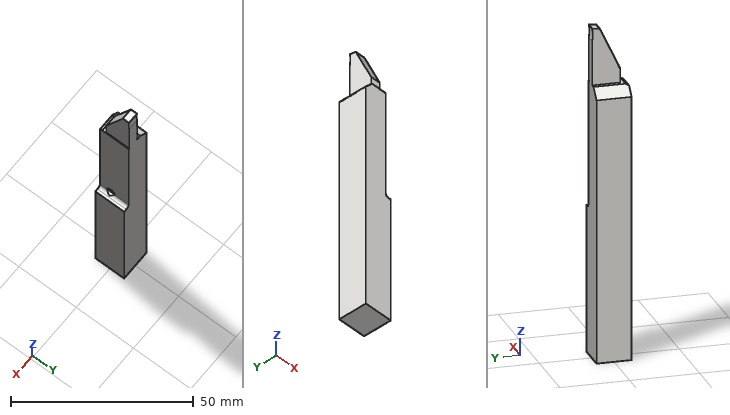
import cadquery as cq

width = 10.0
depth = 10.0
length = 96.6

shank_top = 80.0
relief_bottom = 43.0
relief_depth = 2.0
relief_radius = 1.1
side_bevel = 2.9
front_bevel_depth = 0.9
front_bevel_drop = 0.5
relief_x = width - relief_depth

dimple_radius = 1.3
dimple_y = 3.8
dimple_height = 1.4
dimple_depth = 0.5

blade_thickness = 3.6
blade_side_gap = 0.2
blade_front = 2.0
blade_shoulder = 84.1
tip_land = 2.2
tip_drop = 0.3
blade_x = relief_x - blade_side_gap - blade_thickness

hollow_length = 3.8
hollow_depth = 0.2


def make_shank():
    profile = (
        cq.Workplane("XZ")
        .polyline([
            (0, 0),
            (width, 0),
            (width, relief_bottom),
            (relief_x, relief_bottom),
            (relief_x, shank_top),
            (side_bevel, shank_top),
            (0, shank_top - side_bevel),
        ])
        .close()
    )
    shank = profile.extrude(-depth)
    inner_corner = cq.selectors.NearestToPointSelector((relief_x, depth / 2, relief_bottom))
    shank = shank.edges("|Y").edges(inner_corner).fillet(relief_radius)
    return shank.cut(make_front_bevel()).cut(make_dimple())


def make_front_bevel():
    return (
        cq.Workplane("YZ")
        .polyline([
            (0, shank_top - front_bevel_drop),
            (front_bevel_depth, shank_top),
            (0, shank_top),
        ])
        .close()
        .extrude(width)
    )


def make_dimple():
    return (
        cq.Workplane("YZ", origin=(relief_x - dimple_depth, 0, 0))
        .center(dimple_y, relief_bottom + dimple_height)
        .circle(dimple_radius)
        .extrude(dimple_depth + relief_depth)
    )


def make_blade():
    return (
        cq.Workplane("YZ", origin=(blade_x, 0, 0))
        .moveTo(blade_front, shank_top)
        .lineTo(depth, shank_top)
        .lineTo(depth, length - hollow_length)
        .threePointArc(
            (depth - hollow_depth, length - hollow_length / 2),
            (depth, length),
        )
        .lineTo(depth - tip_land, length - tip_drop)
        .lineTo(blade_front, blade_shoulder)
        .close()
        .extrude(blade_thickness)
    )


result = make_shank().union(make_blade())